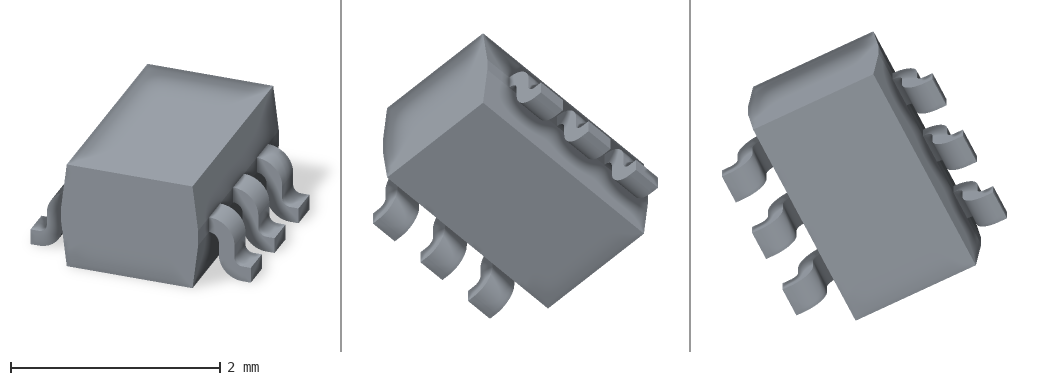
import cadquery as cq

overall_length = 2.25
body_depth = 2.2
body_height = 1.1
waist_width = 1.4
face_width = 1.285

lead_thickness = 0.16
lead_width = 0.3
lead_pitch = 0.65
leads_per_side = 3
lead_exit_height = 0.47
shoulder_inner_radius = 0.1
foot_inner_radius = 0.08

waist_half = waist_width / 2
face_half = face_width / 2
tip_x = overall_length / 2
lead_top = lead_exit_height + lead_thickness
shoulder_outer_radius = shoulder_inner_radius + lead_thickness
foot_outer_radius = foot_inner_radius + lead_thickness
shank_inner_x = waist_half + shoulder_inner_radius
shank_outer_x = shank_inner_x + lead_thickness
foot_bend_x = shank_outer_x + foot_inner_radius
foot_bend_z = foot_outer_radius


def make_body():
    """Body tapering above and below a straight waist band as tall as the leads are thick."""
    right_side = [
        (face_half, 0),
        (waist_half, lead_exit_height),
        (waist_half, lead_top),
        (face_half, body_height),
    ]
    left_side = [(-x, z) for x, z in reversed(right_side)]
    return (
        cq.Workplane("XZ")
        .polyline(right_side + left_side)
        .close()
        .extrude(body_depth / 2, both=True)
    )


def make_lead(y_center):
    """S-shaped lead on the +X side: shoulder bend, vertical shank, foot bend and flat foot."""
    return (
        cq.Workplane("XZ", origin=(0, y_center, 0))
        .moveTo(waist_half, lead_top)
        .radiusArc((shank_outer_x, lead_top - shoulder_outer_radius), shoulder_outer_radius)
        .lineTo(shank_outer_x, foot_bend_z)
        .radiusArc((foot_bend_x, lead_thickness), -foot_inner_radius)
        .lineTo(tip_x, lead_thickness)
        .lineTo(tip_x, 0)
        .lineTo(foot_bend_x, 0)
        .radiusArc((shank_inner_x, foot_bend_z), foot_outer_radius)
        .lineTo(shank_inner_x, lead_exit_height - shoulder_inner_radius)
        .radiusArc((waist_half, lead_exit_height), -shoulder_inner_radius)
        .close()
        .extrude(lead_width / 2, both=True)
    )


body = make_body()

leads = []
for row in range(leads_per_side):
    y_center = (row - (leads_per_side - 1) / 2) * lead_pitch
    right_lead = make_lead(y_center)
    leads.append(right_lead.val())
    leads.append(right_lead.mirror("YZ").val())

result = cq.Compound.makeCompound([body.val(), *leads])